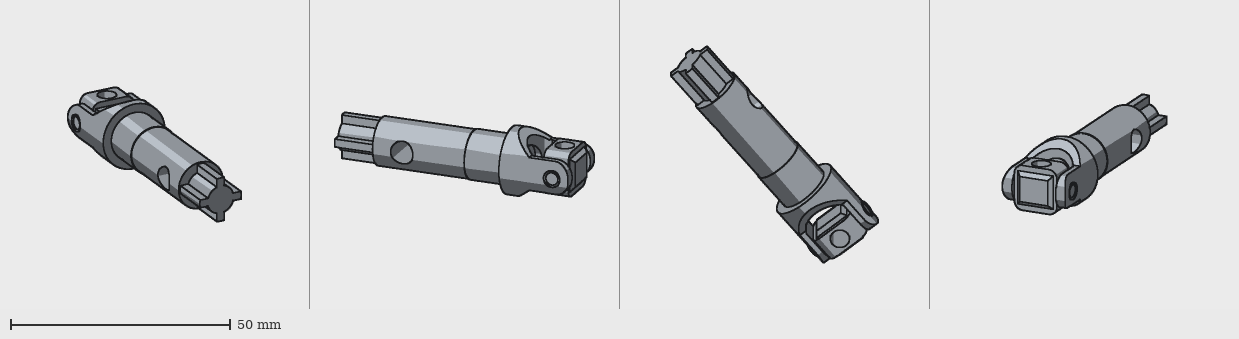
import cadquery as cq
import math

total_length = 58.5

head_diameter = 16.0
head_end_x = 17.0
ear_width = 8.0
ear_tip_radius = 3.7
shoulder_start_x = 9.95
shoulder_end_x = 14.9
slot_width = 11.05
slot_end_x = 12.8
slot_end_diameter = 12.3
relief_diameter = 8.0
relief_depth = 0.1

collar_diameter = 11.8
collar_end_x = 26.45
barrel_diameter = 11.5
barrel_end_x = 49.0
cross_hole_diameter = 5.5
cross_hole_x = 41.8
spline_diameter = 10.75
spline_root_diameter = 6.8
spline_rib_width = 1.95
spline_rib_count = 4

pin_diameter = 4.0
pin_length = 16.2
pin_recess_diameter = 3.0
pin_recess_depth = 0.25
block_width = 10.8
block_corner_radius = 2.1
boss_length = 8.0
boss_width_y = 9.0
boss_height_z = 8.0
boss_chamfer = 1.0
block_hole_diameter = 4.4

pin_x = boss_length / 2
block_length = boss_length - 2 * boss_chamfer
spline_length = total_length - barrel_end_x


def cylinder_x(diameter, start_x, end_x):
    """Cylinder on the shaft axis between two X positions."""
    return cq.Workplane("YZ", origin=(start_x, 0, 0)).circle(diameter / 2).extrude(end_x - start_x)


def cylinder_y(diameter, x, length):
    """Cylinder along Y, centred on the shaft axis."""
    return cq.Workplane("XZ", origin=(x, 0, 0)).circle(diameter / 2).extrude(length / 2, both=True)


def ear_outline():
    """Side profile of the head: rounded ears that widen along sloping shoulders."""
    half_ear = ear_width / 2
    half_head = head_diameter / 2
    return (
        cq.Workplane("XZ")
        .moveTo(ear_tip_radius, half_ear)
        .lineTo(shoulder_start_x, half_ear)
        .lineTo(shoulder_end_x, half_head)
        .lineTo(head_end_x, half_head)
        .lineTo(head_end_x, -half_head)
        .lineTo(shoulder_end_x, -half_head)
        .lineTo(shoulder_start_x, -half_ear)
        .lineTo(ear_tip_radius, -half_ear)
        .radiusArc((0, ear_tip_radius - half_ear), ear_tip_radius)
        .lineTo(0, half_ear - ear_tip_radius)
        .radiusArc((ear_tip_radius, half_ear), ear_tip_radius)
        .close()
        .extrude(head_diameter, both=True)
    )


def ear_slot():
    """Slot between the ears, ended by an upright cylindrical surface."""
    half_slot = slot_width / 2
    end_radius = slot_end_diameter / 2
    arc_start_x = slot_end_x - end_radius + math.sqrt(end_radius**2 - half_slot**2)
    return (
        cq.Workplane("XY")
        .moveTo(0, half_slot)
        .lineTo(arc_start_x, half_slot)
        .threePointArc((slot_end_x, 0), (arc_start_x, -half_slot))
        .lineTo(0, -half_slot)
        .close()
        .extrude(head_diameter, both=True)
    )


def make_head():
    head = cylinder_x(head_diameter, 0, head_end_x).intersect(ear_outline())
    head = head.cut(ear_slot())
    head = head.cut(cylinder_x(relief_diameter, pin_x, slot_end_x + relief_depth))
    return head.cut(cylinder_y(pin_diameter, pin_x, pin_length))


def make_spline():
    """Round core with straight-sided ribs."""
    spline = cylinder_x(spline_root_diameter, barrel_end_x, total_length)
    rib = cq.Workplane("XY", origin=(barrel_end_x, 0, 0)).box(
        spline_length, spline_rib_width, spline_diameter / 2, centered=(False, True, False)
    )
    for index in range(spline_rib_count):
        angle = index * 360 / spline_rib_count
        spline = spline.union(rib.rotate((0, 0, 0), (1, 0, 0), angle))
    return spline.intersect(cylinder_x(spline_diameter, barrel_end_x, total_length))


def make_yoke_shaft():
    collar = cylinder_x(collar_diameter, head_end_x, collar_end_x)
    barrel = cylinder_x(barrel_diameter, collar_end_x, barrel_end_x)
    barrel = barrel.cut(cylinder_y(cross_hole_diameter, cross_hole_x, collar_diameter))
    return make_head().union(collar).union(barrel).union(make_spline())


def pin_recess():
    """Conical recess in the -Y end of the pin."""
    return (
        cq.Workplane("XZ", origin=(pin_x, -pin_length / 2, 0))
        .circle(pin_diameter / 2)
        .workplane(offset=-pin_recess_depth)
        .circle(pin_recess_diameter / 2)
        .loft()
    )


def make_joint_block():
    block = cq.Workplane("XY", origin=(pin_x, 0, 0)).box(block_length, block_width, block_width)
    block = block.edges("|X").fillet(block_corner_radius)
    boss = cq.Workplane("XY", origin=(pin_x, 0, 0)).box(boss_length, boss_width_y, boss_height_z)
    boss = boss.faces("<X or >X").chamfer(boss_chamfer)
    pin = cylinder_y(pin_diameter, pin_x, pin_length)
    recess = pin_recess()
    pin = pin.cut(recess).cut(recess.mirror("XZ"))
    hole = (
        cq.Workplane("XY", origin=(pin_x, 0, 0))
        .circle(block_hole_diameter / 2)
        .extrude(block_width, both=True)
    )
    return block.union(boss).union(pin).cut(hole)


yoke_shaft = make_yoke_shaft()
joint_block = make_joint_block()

result = cq.Compound.makeCompound([yoke_shaft.val(), joint_block.val()])